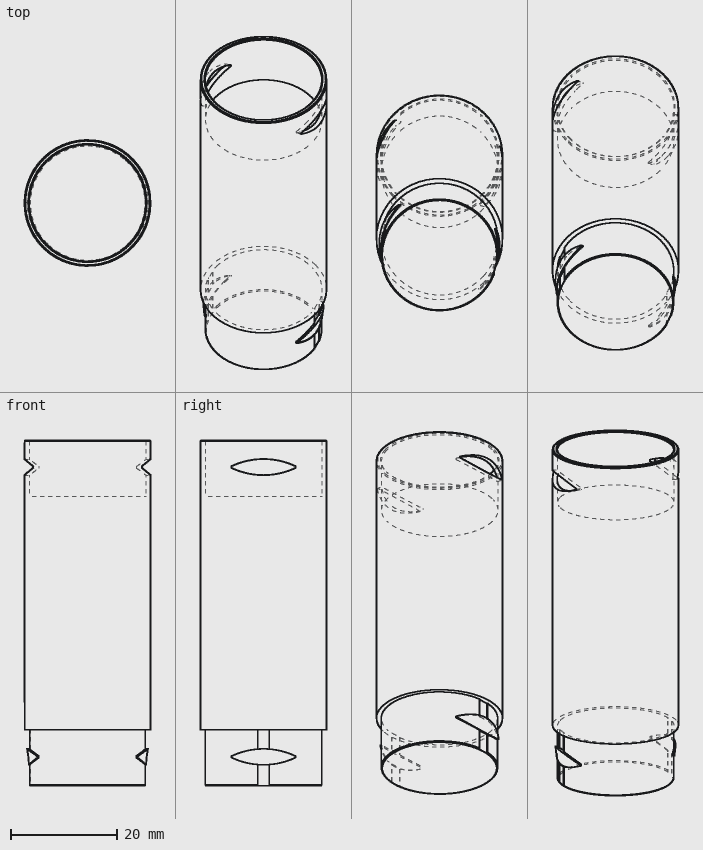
import cadquery as cq

total_height = 65.2
body_diameter = 23.8
spigot_diameter = 22.0
spigot_length = 10.55
edge_chamfer = 0.2

snap_offset = 5.1
lens_half_width = 6.3
lens_half_height = 1.5
lens_tip_radius = 0.2

ridge_top_radius = 11.4
ridge_bottom_radius = 11.1

groove_width = 2.2
groove_depth = 0.2

body_radius = body_diameter / 2
spigot_radius = spigot_diameter / 2
socket_floor = total_height - spigot_length
window_height = total_height - snap_offset
ridge_height = spigot_length - snap_offset


def make_body():
    """Solid body on a narrower spigot, with a socket in the top."""
    spigot = cq.Workplane("XY").circle(spigot_radius).extrude(spigot_length)
    spigot = spigot.faces("<Z").chamfer(edge_chamfer)
    barrel = (
        cq.Workplane("XY", origin=(0, 0, spigot_length))
        .circle(body_radius)
        .extrude(total_height - spigot_length)
    )
    socket = (
        cq.Workplane("XY", origin=(0, 0, socket_floor))
        .circle(spigot_radius)
        .extrude(spigot_length)
    )
    barrel = barrel.cut(socket).faces(">Z").edges().chamfer(edge_chamfer)
    return barrel.union(spigot)


def lens_prism(side, height):
    """Lens outline with rounded tips, extruded outwards along X from the axis."""
    return (
        cq.Workplane("YZ")
        .moveTo(-lens_half_width, height)
        .threePointArc((0, height + lens_half_height), (lens_half_width, height))
        .threePointArc((0, height - lens_half_height), (-lens_half_width, height))
        .close()
        .extrude(side * body_diameter)
        .edges("|X")
        .fillet(lens_tip_radius)
    )


def ridge(side):
    """Lens-shaped snap ridge with a conical outer face."""
    cone = (
        cq.Workplane("XY", origin=(0, 0, ridge_height - lens_half_height))
        .circle(ridge_bottom_radius)
        .workplane(offset=2 * lens_half_height)
        .circle(ridge_top_radius)
        .loft(ruled=True)
    )
    return lens_prism(side, ridge_height).intersect(cone)


def groove(side):
    """Shallow vertical groove along the full spigot length."""
    return cq.Workplane("XY").box(
        2 * groove_depth, groove_width, spigot_length, centered=(True, True, False)
    ).translate((side * spigot_radius, 0, 0))


result = make_body()
for side in (-1, 1):
    result = result.cut(lens_prism(side, window_height))
    result = result.cut(groove(side))
    result = result.union(ridge(side))